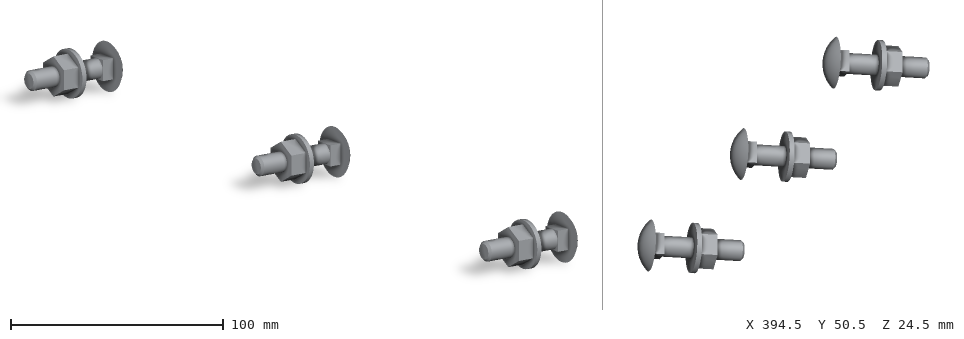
import cadquery as cq

TOTAL_LENGTH = 394.5
SET_COUNT = 3

HEAD_DIAMETER = 24.5
HEAD_HEIGHT = 5.5
BOLT_LENGTH = 50.5
NECK_WIDTH = 10.3
NECK_LENGTH = 6.0
SHANK_DIAMETER = 10.0
TIP_CHAMFER = 1.0

CLAMP_LENGTH = 20.0
WASHER_DIAMETER = 23.5
WASHER_THICKNESS = 2.5
NUT_ACROSS_FLATS = 17.0
NUT_HEIGHT = 8.3

HEAD_RADIUS = HEAD_DIAMETER / 2
SET_SPACING = (TOTAL_LENGTH - HEAD_DIAMETER) / (SET_COUNT - 1)
SHANK_LENGTH = BOLT_LENGTH - HEAD_HEIGHT
HEXAGON_SIDES = 6


def plane_below_head(x, distance):
    """Plane across the bolt axis, facing the tip, at a distance below the head."""
    return cq.Workplane(cq.Plane(origin=(x, -distance, 0), xDir=(1, 0, 0), normal=(0, -1, 0)))


def make_bolt(x):
    """Domed head, square neck and chamfered round shank."""
    dome_radius = (HEAD_RADIUS**2 + HEAD_HEIGHT**2) / (2 * HEAD_HEIGHT)
    head_slab = plane_below_head(x, -HEAD_HEIGHT).circle(HEAD_RADIUS).extrude(HEAD_HEIGHT)
    ball = cq.Workplane("XY").sphere(dome_radius).translate((x, HEAD_HEIGHT - dome_radius, 0))
    head = head_slab.intersect(ball)
    neck = plane_below_head(x, 0).rect(NECK_WIDTH, NECK_WIDTH).extrude(NECK_LENGTH)
    shank = plane_below_head(x, 0).circle(SHANK_DIAMETER / 2).extrude(SHANK_LENGTH)
    shank = shank.faces("<Y").chamfer(TIP_CHAMFER)
    return head.union(neck).union(shank)


def make_washer(x):
    """Flat ring that fits the shank."""
    ring = plane_below_head(x, CLAMP_LENGTH).circle(WASHER_DIAMETER / 2).circle(SHANK_DIAMETER / 2)
    return ring.extrude(WASHER_THICKNESS)


def make_nut(x):
    """Hexagon nut resting on the washer, with corners pointing up and down."""
    nut_plane = plane_below_head(x, CLAMP_LENGTH + WASHER_THICKNESS)
    hexagon = nut_plane.polygon(HEXAGON_SIDES, NUT_ACROSS_FLATS, circumscribed=True)
    return hexagon.circle(SHANK_DIAMETER / 2).extrude(NUT_HEIGHT)


bodies = []
for index in range(SET_COUNT):
    set_x = (index - (SET_COUNT - 1) / 2) * SET_SPACING
    bodies.append(make_bolt(set_x).val())
    bodies.append(make_washer(set_x).val())
    bodies.append(make_nut(set_x).val())

result = cq.Compound.makeCompound(bodies)